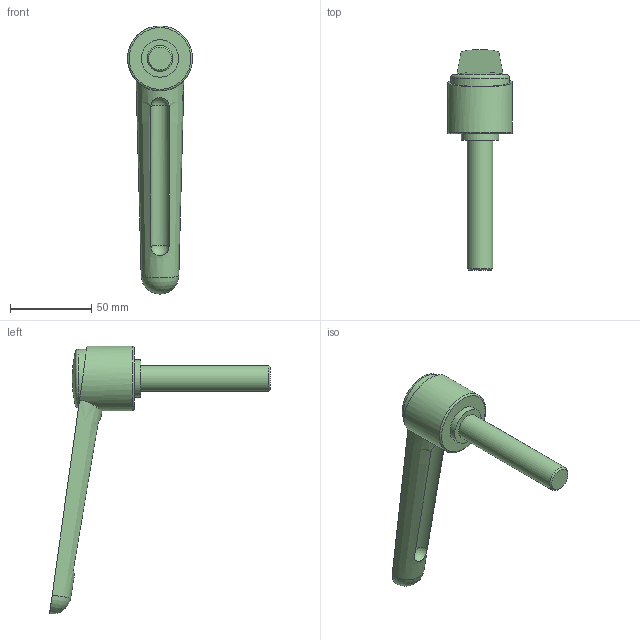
import cadquery as cq
import math


hub_diameter = 40.0
hub_edge_fillet = 1.0

collar_diameter = 23.0
collar_length = 4.0
stud_diameter = 16.0
stud_length = 80.0
stud_chamfer = 1.0

cap_diameter = 36.0
cap_base_y = 20.0
cap_rim_y = 34.3
cap_shoulder_y = 36.2
cap_shoulder_inset = 1.2
cap_crown_y = 38.0

handle_tilt = math.radians(8.0)
handle_tip_y = 52.0
handle_tip_drop = 145.02
handle_root_radius = 14.8
handle_end_radius = 11.6
handle_root_distance = 11.0

slot_radius = 5.7
slot_start_z = -29.7
slot_end_z = -115.8
slot_start_axis_depth = 14.0
slot_end_axis_depth = 12.0

handle_ball_distance = (handle_tip_drop - handle_end_radius) / math.cos(handle_tilt)
handle_length = handle_ball_distance + handle_end_radius

back_plane_y = handle_tip_y - handle_length * math.sin(handle_tilt)
back_plane = cq.Plane(
    origin=(0, back_plane_y, 0),
    xDir=(1, 0, 0),
    normal=(0, math.cos(handle_tilt), math.sin(handle_tilt)),
)


def cylinder_along_y(diameter, y_start, y_end):
    base = cq.Plane(origin=(0, y_start, 0), xDir=(1, 0, 0), normal=(0, 1, 0))
    return cq.Workplane(base).circle(diameter / 2).extrude(y_end - y_start)


def make_hub():
    blank = cylinder_along_y(hub_diameter, 0, handle_tip_y)
    return blank.faces("<Y").edges().fillet(hub_edge_fillet)


def make_handle_bar():
    arc_offset = handle_end_radius * math.sqrt(0.5)
    return (
        cq.Workplane(back_plane)
        .moveTo(0, handle_root_distance)
        .lineTo(handle_root_radius, handle_root_distance)
        .lineTo(handle_end_radius, handle_ball_distance)
        .threePointArc((arc_offset, handle_ball_distance + arc_offset), (0, handle_length))
        .close()
        .revolve(360, (0, 0, 0), (0, 1, 0))
    )


def make_back_trim():
    """Block covering everything behind the flat back plane."""
    trim_size = 3 * handle_length
    return cq.Workplane(back_plane).rect(trim_size, trim_size).extrude(handle_tip_y)


def slot_center(z, depth):
    """Point at height z, lying the given depth below the flat back of the handle."""
    back_y = back_plane_y - z * math.tan(handle_tilt)
    return cq.Vector(0, back_y - depth / math.cos(handle_tilt), z)


def make_slot():
    start = slot_center(slot_start_z, slot_start_axis_depth)
    end = slot_center(slot_end_z, slot_end_axis_depth)
    run = end - start
    slot = cq.Workplane(cq.Solid.makeCylinder(slot_radius, run.Length, start, run))
    for center in (start, end):
        slot = slot.union(cq.Workplane("XY").sphere(slot_radius).translate(center))
    return slot


def make_cap():
    cap_radius = cap_diameter / 2
    shoulder_radius = cap_radius - cap_shoulder_inset
    bevel_fraction = math.sqrt(0.5)
    rim_mid = (
        shoulder_radius + cap_shoulder_inset * bevel_fraction,
        cap_rim_y + (cap_shoulder_y - cap_rim_y) * bevel_fraction,
    )
    crown_height = cap_crown_y - cap_shoulder_y
    crown_radius = (shoulder_radius**2 + crown_height**2) / (2 * crown_height)
    mid_radius = shoulder_radius / 2
    mid_y = cap_crown_y - crown_radius + math.sqrt(crown_radius**2 - mid_radius**2)
    return (
        cq.Workplane("XY")
        .moveTo(0, cap_base_y)
        .lineTo(cap_radius, cap_base_y)
        .lineTo(cap_radius, cap_rim_y)
        .threePointArc(rim_mid, (shoulder_radius, cap_shoulder_y))
        .threePointArc((mid_radius, mid_y), (0, cap_crown_y))
        .close()
        .revolve(360, (0, 0, 0), (0, 1, 0))
    )


def make_stud():
    stud_end_y = -collar_length - stud_length
    collar = cylinder_along_y(collar_diameter, -collar_length, hub_edge_fillet)
    stud = cylinder_along_y(stud_diameter, stud_end_y, 0)
    stud = stud.faces("<Y").edges().chamfer(stud_chamfer)
    return collar.union(stud)


lever = make_hub().union(make_handle_bar().cut(make_slot())).cut(make_back_trim())
result = lever.union(make_cap()).union(make_stud())